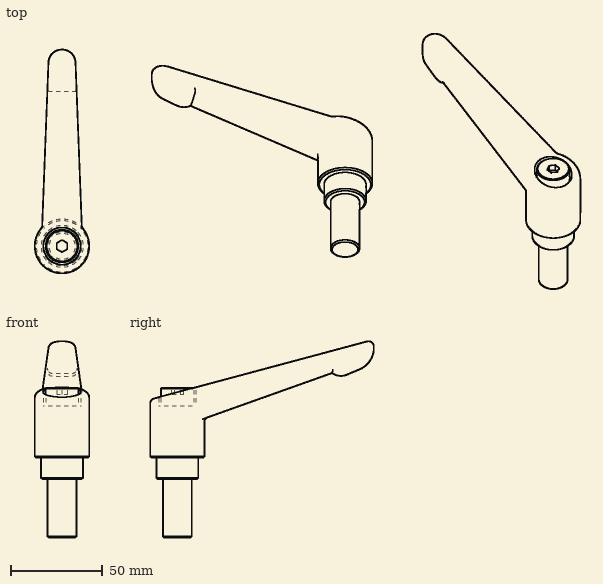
import cadquery as cq
import math

STUD_RADIUS = 8.0
STUD_LENGTH = 32.1
COLLAR_RADIUS = 11.6
COLLAR_LENGTH = 11.8
INSERT_CHAMFER = 0.9

HUB_RADIUS = 15.0
HUB_BOTTOM = STUD_LENGTH + COLLAR_LENGTH
HUB_CHAMFER = 0.9
TOP_HEIGHT_ON_AXIS = 80.0
TOP_SLOPE = math.tan(math.radians(15))

TIP_REACH = 108.0
TIP_RADIUS = 7.5
ARM_TAPER = math.radians(2.2)
UNDERSIDE_ROOT_HEIGHT = 64.3
UNDERSIDE_ROOT_Y = 11.8
BUMP_START = (85.0, 90.4)
BUMP_LOW = (89.9, 88.8)
BUMP_END = (93.2, 89.5)
BELLY_END = (100.2, 92.5)
NOSE_MIDDLE = (105.9, 97.3)
NOSE_HEIGHT = 103.3
TOP_FILLET = 3.0
UNDERSIDE_FILLET = 2.5
ROOT_FILLET = 2.0
EDGE_TOLERANCE = 0.01

SCREW_RADIUS = 9.0
SCREW_TOP = 82.4
SCREW_CHAMFER = 0.5
RECESS_RADIUS = 10.2
RECESS_FLOOR = 72.6
HEX_ACROSS_FLATS = 5.8
HEX_DEPTH = 3.7


def top_height(y):
    """Height of the sloping top face of the lever at a given Y."""
    return TOP_HEIGHT_ON_AXIS + TOP_SLOPE * y


def make_insert():
    stud = cq.Workplane("XY").circle(STUD_RADIUS).extrude(STUD_LENGTH)
    stud = stud.faces("<Z").chamfer(INSERT_CHAMFER)
    collar = cq.Workplane("XY").workplane(offset=STUD_LENGTH)
    collar = collar.circle(COLLAR_RADIUS).extrude(COLLAR_LENGTH)
    collar = collar.faces("<Z").chamfer(INSERT_CHAMFER)
    return stud.union(collar)


def make_hub():
    """Round hub cut off by the sloping top plane."""
    side = cq.Workplane("YZ").polyline([
        (-HUB_RADIUS, HUB_BOTTOM),
        (HUB_RADIUS, HUB_BOTTOM),
        (HUB_RADIUS, top_height(HUB_RADIUS)),
        (-HUB_RADIUS, top_height(-HUB_RADIUS)),
    ]).close().extrude(HUB_RADIUS, both=True)
    hub = cq.Workplane("XY").circle(HUB_RADIUS).extrude(SCREW_TOP + HUB_RADIUS)
    return hub.intersect(side)


def make_arm():
    """Tapered plan with a round tip, trimmed to the side profile."""
    tangent_x = TIP_RADIUS * math.cos(ARM_TAPER)
    tangent_y = TIP_REACH - TIP_RADIUS + TIP_RADIUS * math.sin(ARM_TAPER)
    axis_half_width = tangent_x + tangent_y * math.tan(ARM_TAPER)
    plan = (
        cq.Workplane("XY")
        .moveTo(-axis_half_width, 0)
        .lineTo(axis_half_width, 0)
        .lineTo(tangent_x, tangent_y)
        .threePointArc((0, TIP_REACH), (-tangent_x, tangent_y))
        .close()
        .extrude(top_height(TIP_REACH))
    )
    underside_slope = (BUMP_START[1] - UNDERSIDE_ROOT_HEIGHT) / (BUMP_START[0] - UNDERSIDE_ROOT_Y)
    axis_height = UNDERSIDE_ROOT_HEIGHT - underside_slope * UNDERSIDE_ROOT_Y
    side = (
        cq.Workplane("YZ")
        .moveTo(0, top_height(0))
        .lineTo(0, axis_height)
        .lineTo(*BUMP_START)
        .threePointArc(BUMP_LOW, BUMP_END)
        .lineTo(*BELLY_END)
        .threePointArc(NOSE_MIDDLE, (TIP_REACH, NOSE_HEIGHT))
        .lineTo(TIP_REACH, top_height(TIP_REACH))
        .close()
        .extrude(HUB_RADIUS, both=True)
    )
    return plan.intersect(side)


def height_below_top(edge):
    middle = edge.Center()
    return top_height(middle.y) - middle.z


def is_below_top(edge):
    return height_below_top(edge) > EDGE_TOLERANCE


def is_on_top(edge):
    return abs(height_below_top(edge)) < EDGE_TOLERANCE


def is_arm_root(edge):
    """Edges where the arm's sides and underside run into the hub."""
    middle = edge.Center()
    above_hub_bottom = middle.z > HUB_BOTTOM + EDGE_TOLERANCE
    on_arm_side = HUB_RADIUS / 2 < middle.y < HUB_RADIUS + EDGE_TOLERANCE
    return above_hub_bottom and on_arm_side and is_below_top(edge)


def make_lever():
    arm = make_arm().edges("not(|X or |Z)").filter(is_below_top).fillet(UNDERSIDE_FILLET)
    lever = make_hub().union(arm).clean()
    lever = lever.edges().filter(is_arm_root).fillet(ROOT_FILLET)
    lever = lever.edges().filter(is_on_top).fillet(TOP_FILLET)
    lever = lever.faces("<Z").chamfer(HUB_CHAMFER)
    recess = cq.Workplane("XY").workplane(offset=RECESS_FLOOR)
    recess = recess.circle(RECESS_RADIUS).extrude(SCREW_TOP - RECESS_FLOOR + RECESS_RADIUS)
    return lever.cut(recess)


def make_screw():
    screw = cq.Workplane("XY").workplane(offset=RECESS_FLOOR)
    screw = screw.circle(SCREW_RADIUS).extrude(SCREW_TOP - RECESS_FLOOR)
    screw = screw.faces(">Z").chamfer(SCREW_CHAMFER)
    hex_across_corners = HEX_ACROSS_FLATS / math.cos(math.pi / 6)
    socket = cq.Workplane("XY").workplane(offset=SCREW_TOP - HEX_DEPTH)
    socket = socket.transformed(rotate=(0, 0, 90)).polygon(6, hex_across_corners).extrude(HEX_DEPTH)
    return screw.cut(socket)


insert = make_insert()
lever = make_lever()
screw = make_screw()

result = cq.Compound.makeCompound([insert.val(), lever.val(), screw.val()])